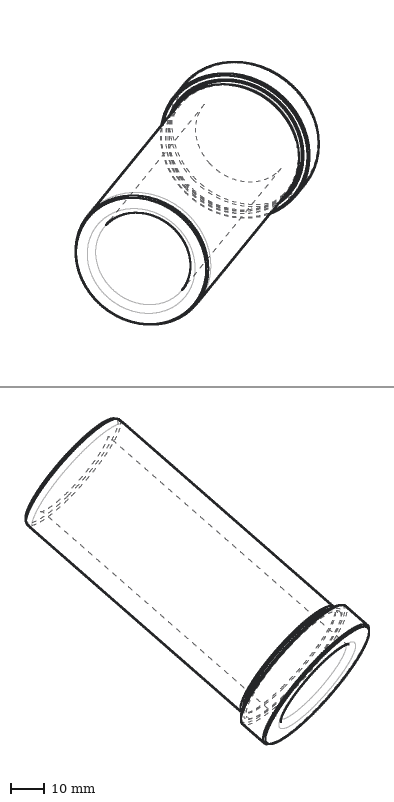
import cadquery as cq
import math

total_length = 100.0
head_diameter = 47.0
head_length = 10.0
head_edge_chamfer = 0.5

body_diameter = 42.0
lead_length = 3.0
lead_diameter = 41.9
end_chamfer_length = 0.7
end_face_diameter = 41.0

neck_diameter = 41.0
neck_length = 2.0
neck_ramp_length = 0.6
relief_depth = 0.3
relief_corner_radius = 0.6
relief_outer_diameter = 43.5

bore_diameter = 30.0
bore_mouth_radius = 2.0

head_radius = head_diameter / 2
body_radius = body_diameter / 2
neck_radius = neck_diameter / 2
bore_radius = bore_diameter / 2
mouth_radius = bore_radius + bore_mouth_radius
underside = total_length - head_length
body_end = underside - neck_length
relief_floor = underside + relief_depth

arc_inset = 1 - math.sqrt(0.5)
corner_inset = relief_corner_radius * arc_inset
mouth_inset = bore_mouth_radius * arc_inset

half_section = (
    cq.Workplane("XY")
    .moveTo(mouth_radius, 0)
    .lineTo(end_face_diameter / 2, 0)
    .lineTo(lead_diameter / 2, end_chamfer_length)
    .lineTo(body_radius, lead_length)
    .lineTo(body_radius, body_end)
    .lineTo(neck_radius, body_end + neck_ramp_length)
    .lineTo(neck_radius, relief_floor - relief_corner_radius)
    .threePointArc(
        (neck_radius + corner_inset, relief_floor - corner_inset),
        (neck_radius + relief_corner_radius, relief_floor),
    )
    .lineTo(relief_outer_diameter / 2, underside)
    .lineTo(head_radius - head_edge_chamfer, underside)
    .lineTo(head_radius, underside + head_edge_chamfer)
    .lineTo(head_radius, total_length - head_edge_chamfer)
    .lineTo(head_radius - head_edge_chamfer, total_length)
    .lineTo(mouth_radius, total_length)
    .threePointArc(
        (bore_radius + mouth_inset, total_length - mouth_inset),
        (bore_radius, total_length - bore_mouth_radius),
    )
    .lineTo(bore_radius, bore_mouth_radius)
    .threePointArc((bore_radius + mouth_inset, mouth_inset), (mouth_radius, 0))
    .close()
)

result = half_section.revolve(360, (0, 0, 0), (0, 1, 0))